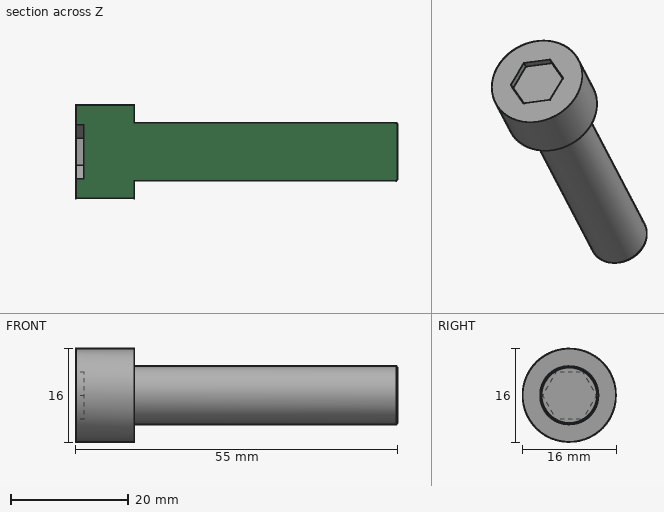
import cadquery as cq
import math

total_length = 55.0
head_diameter = 16.0
shank_diameter = 10.0
head_length = shank_diameter
socket_across_flats = 8.0
socket_depth = 1.3
tip_chamfer = 0.3

head_start = -total_length / 2
shank_start = head_start + head_length
shank_end = total_length / 2


def make_body():
    """Revolve the half profile of head, shank and chamfered tip about X."""
    head_radius = head_diameter / 2
    shank_radius = shank_diameter / 2
    return (
        cq.Workplane("XY")
        .moveTo(head_start, 0)
        .lineTo(head_start, head_radius)
        .lineTo(shank_start, head_radius)
        .lineTo(shank_start, shank_radius)
        .lineTo(shank_end - tip_chamfer, shank_radius)
        .lineTo(shank_end, shank_radius - tip_chamfer)
        .lineTo(shank_end, 0)
        .close()
        .revolve(360, (0, 0, 0), (1, 0, 0))
    )


def make_socket():
    """Hexagonal drive socket with two corners pointing along Y."""
    across_corners = socket_across_flats / math.cos(math.pi / 6)
    return (
        cq.Workplane("YZ", origin=(head_start, 0, 0))
        .polygon(6, across_corners)
        .extrude(socket_depth)
    )


result = make_body().cut(make_socket())